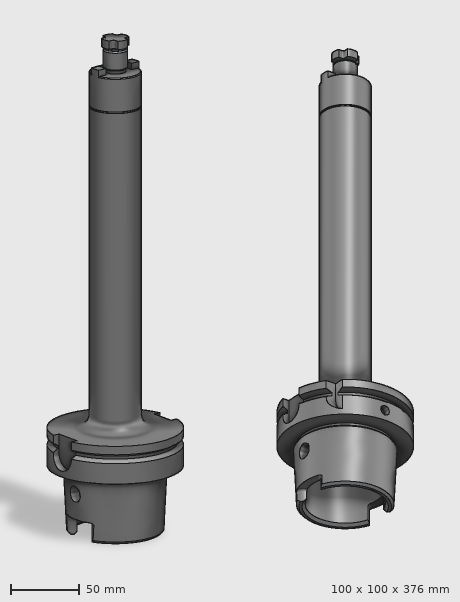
import cadquery as cq
import math


overall_length = 376

shank_length = 50.0
shank_top_radius = 38.0
shank_end_radius = 35.7
shank_chamfer = 2.0
relief_height = 3.5
relief_depth = 1.5
bore_radius = 29.5
bore_mouth_chamfer = 2.3
bore_depth = 43.2
cross_hole_radius = 6.0
cross_hole_z = -15.5

drive_slot_half_width = 9.5
drive_flat_y = 32.5
drive_round_radius = 7.0
drive_roof_fillet = 2.0
front_drive_depth = 15.0
rear_drive_depth = 9.8

flange_radius = 50.0
flange_height = 29.0
gripper_groove_bottom_z = 15.8
gripper_groove_width = 6.8
gripper_groove_depth = 4.0
gripper_groove_flat = 2.3

flange_slot_floor_y = 43.5
flange_slot_bottom_z = 4.5
front_flange_slot_width = 21.8
rear_flange_slot_width = 20.0
notch_corner = 31.0
notch_round_radius = 10.0
notch_bottom_z = 4.5
chip_hole_radius = 3.8
chip_hole_depth = 6.0
chip_hole_z = 8.3
drill_point_angle = 118

bar_radius = 19.0
bar_top_z = 300.5
bar_top_chamfer = 0.8
bar_base_fillet = 10.0
ring_groove_z = 274.0
ring_groove_width = 1.0
ring_groove_depth = 0.5

key_width = 8.3
key_height = 5.0
key_inner_y = 11.5

stud_radius = 9.0
stud_foot_radius = 8.0
stud_foot_height = 2.3
stud_chamfer = 1.0
stud_neck_radius = 4.5
head_radius = 10.0
head_arm_width = 9.0
head_corner_fillet = 2.0
head_height = 6.5
neck_height = 2.0
stud_top_z = overall_length - shank_length
head_bottom_z = stud_top_z - head_height
neck_bottom_z = head_bottom_z - neck_height


def cylinder(radius, bottom_z, top_z):
    return cq.Workplane("XY").workplane(offset=bottom_z).circle(radius).extrude(top_z - bottom_z)


def turned_body():
    """Shank, flange and bar as one revolved outline."""
    groove_side = (gripper_groove_width - gripper_groove_flat) / 2
    groove_radius = flange_radius - gripper_groove_depth
    groove_z = gripper_groove_bottom_z
    fillet_z = flange_height + bar_base_fillet
    fillet_outer = bar_radius + bar_base_fillet
    fillet_mid = bar_base_fillet * (1 - math.sqrt(0.5))
    return (
        cq.Workplane("XZ")
        .moveTo(0, -shank_length)
        .lineTo(shank_end_radius - shank_chamfer, -shank_length)
        .lineTo(shank_end_radius, -shank_length + shank_chamfer)
        .lineTo(shank_top_radius, -relief_height)
        .lineTo(shank_top_radius - relief_depth, -relief_height + relief_depth)
        .lineTo(shank_top_radius - relief_depth, 0)
        .lineTo(flange_radius, 0)
        .lineTo(flange_radius, groove_z)
        .lineTo(groove_radius, groove_z + groove_side)
        .lineTo(groove_radius, groove_z + groove_side + gripper_groove_flat)
        .lineTo(flange_radius, groove_z + gripper_groove_width)
        .lineTo(flange_radius, flange_height)
        .lineTo(fillet_outer, flange_height)
        .threePointArc(
            (bar_radius + fillet_mid, flange_height + fillet_mid),
            (bar_radius, fillet_z),
        )
        .lineTo(bar_radius, bar_top_z - bar_top_chamfer)
        .lineTo(bar_radius - bar_top_chamfer, bar_top_z)
        .lineTo(0, bar_top_z)
        .close()
        .revolve(360, (0, 0, 0), (0, 1, 0))
    )


def ring_groove():
    bottom_z = ring_groove_z - ring_groove_width / 2
    top_z = ring_groove_z + ring_groove_width / 2
    ring = cylinder(bar_radius + ring_groove_depth, bottom_z, top_z)
    return ring.cut(cylinder(bar_radius - ring_groove_depth, bottom_z, top_z))


def keys():
    """Two keys standing on the bar's top face, trimmed to the bar's outline."""
    key_top_z = bar_top_z + key_height
    bottom_z = bar_top_z - bar_top_chamfer
    strip = cq.Workplane("XY").workplane(offset=bottom_z).rect(key_width, 2 * bar_radius)
    strip = strip.extrude(key_top_z - bottom_z)
    gap = cq.Workplane("XY").workplane(offset=bar_top_z).rect(key_width, 2 * key_inner_y).extrude(key_height)
    return strip.intersect(cylinder(bar_radius, bottom_z, key_top_z)).cut(gap)


def stud():
    """Post with a foot groove, a thin neck and a cross-shaped head."""
    foot_top_z = bar_top_z + stud_foot_height
    foot = cylinder(stud_foot_radius, bar_top_z, foot_top_z)
    post = cylinder(stud_radius, foot_top_z, neck_bottom_z).faces("<Z or >Z").chamfer(stud_chamfer)
    neck = cylinder(stud_neck_radius, neck_bottom_z, head_bottom_z)
    plane = cq.Workplane("XY").workplane(offset=head_bottom_z)
    cross = plane.rect(2 * head_radius, head_arm_width).extrude(head_height)
    cross = cross.union(plane.rect(head_arm_width, 2 * head_radius).extrude(head_height))
    inner_corner = head_arm_width / 2 + head_corner_fillet
    cross = cross.edges(
        cq.selectors.BoxSelector(
            (-inner_corner, -inner_corner, head_bottom_z),
            (inner_corner, inner_corner, stud_top_z),
        )
    ).edges("|Z").fillet(head_corner_fillet)
    head = cross.intersect(cylinder(head_radius, head_bottom_z, stud_top_z))
    return foot.union(post).union(neck).union(head)


def shank_bore():
    bore = cylinder(bore_radius, -shank_length, bore_depth - shank_length)
    mouth_radius = bore_radius + bore_mouth_chamfer
    mouth = cq.Solid.makeCone(mouth_radius, bore_radius, bore_mouth_chamfer)
    return bore.union(cq.Workplane(mouth.translate(cq.Vector(0, 0, -shank_length))))


def cross_hole():
    hole = cq.Workplane("XZ").center(0, cross_hole_z).circle(cross_hole_radius)
    return hole.extrude(shank_top_radius, both=True)


def drive_slot(side, depth):
    """Slot through one shank wall whose mouth rounds out to a flat; side is -1 or 1 along Y."""
    mouth_half = drive_slot_half_width + drive_round_radius
    round_start_y = drive_flat_y - drive_round_radius
    arc_step = drive_round_radius * math.sqrt(0.5)
    arc_mid_x = mouth_half - arc_step
    arc_mid_y = round_start_y + arc_step
    half = (
        cq.Workplane("XY")
        .workplane(offset=-shank_length)
        .lineTo(drive_slot_half_width, 0)
        .lineTo(drive_slot_half_width, side * round_start_y)
        .threePointArc((arc_mid_x, side * arc_mid_y), (mouth_half, side * drive_flat_y))
        .lineTo(shank_top_radius, side * drive_flat_y)
        .lineTo(shank_top_radius, side * shank_top_radius)
        .lineTo(0, side * shank_top_radius)
        .close()
        .extrude(depth)
    )
    half = half.faces(">Z").edges("%CIRCLE").fillet(drive_roof_fillet)
    return half.union(half.mirror("YZ"))


def flange_slot(side, width):
    """Round-bottomed slot in the flange rim; side is -1 or 1 along Y."""
    center_z = flange_slot_bottom_z + width / 2
    depth = flange_radius - flange_slot_floor_y
    slot = (
        cq.Workplane("XZ")
        .moveTo(-width / 2, flange_height)
        .lineTo(-width / 2, center_z)
        .threePointArc((0, flange_slot_bottom_z), (width / 2, center_z))
        .lineTo(width / 2, flange_height)
        .close()
        .extrude(-side * depth)
    )
    return slot.translate((0, side * flange_slot_floor_y, 0))


def index_notch():
    """Corner notch in the rim at -X +Y with a quarter-round runout at its lower end."""
    center_x = -notch_corner - notch_round_radius
    center_z = notch_bottom_z + notch_round_radius
    arc_step = notch_round_radius * math.sqrt(0.5)
    notch = (
        cq.Workplane("XZ")
        .moveTo(-notch_corner, flange_height)
        .lineTo(-notch_corner, center_z)
        .threePointArc((center_x + arc_step, center_z - arc_step), (center_x, notch_bottom_z))
        .lineTo(-flange_radius, notch_bottom_z)
        .lineTo(-flange_radius, flange_height)
        .close()
        .extrude(notch_corner - flange_radius)
    )
    return notch.translate((0, notch_corner, 0))


def chip_hole():
    """Blind drilled hole in the -X side of the flange."""
    point_length = chip_hole_radius / math.tan(math.radians(drill_point_angle / 2))
    floor_x = -flange_radius + chip_hole_depth
    return (
        cq.Workplane("XZ")
        .moveTo(-flange_radius, chip_hole_z)
        .lineTo(-flange_radius, chip_hole_z + chip_hole_radius)
        .lineTo(floor_x, chip_hole_z + chip_hole_radius)
        .lineTo(floor_x + point_length, chip_hole_z)
        .close()
        .revolve(360, (0, chip_hole_z, 0), (1, chip_hole_z, 0))
    )


result = turned_body().union(keys()).union(stud())
cuts = [
    ring_groove(),
    shank_bore(),
    cross_hole(),
    drive_slot(-1, front_drive_depth),
    drive_slot(1, rear_drive_depth),
    flange_slot(-1, front_flange_slot_width),
    flange_slot(1, rear_flange_slot_width),
    index_notch(),
    chip_hole(),
]
for cut in cuts:
    result = result.cut(cut)